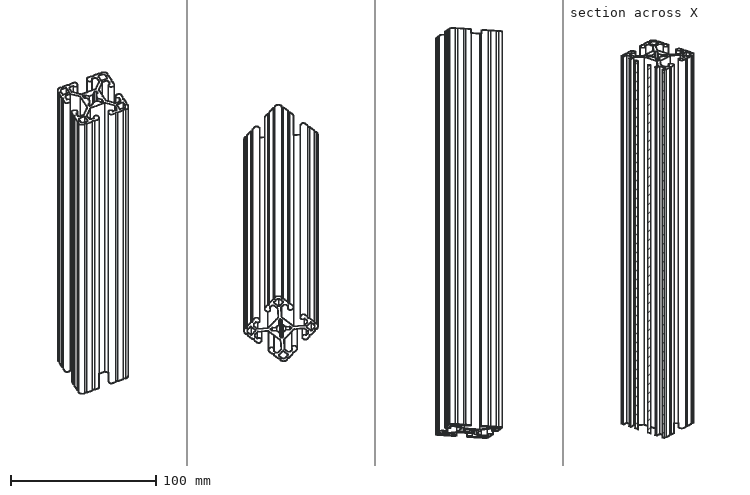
import cadquery as cq

LENGTH = 279.5
WIDTH = 38.0
HALF = WIDTH / 2
CORNER_RADIUS = 3.0

GROOVE_POSITIONS = (9.0, 14.8)
GROOVE_WIDTH = 1.7
GROOVE_DEPTH = 0.5

SLOT_OPENING = 7.8
LIP_THICKNESS = 2.5
BEAD_WIDTH = 3.4
BEAD_HEIGHT = 4.2
BEAD_RADIUS = 1.65
SLOT_WALL = 10.5
SLOT_FILLET = 1.5

CORE_WIDTH = 14.2
WEB_THICKNESS = 2.2
CELL_WALL = 1.7
CELL_OUTER_WALL = 2.0
CELL_CORNER_RADIUS = 1.7

CAVITY_WIDTH = 10.3
PAD_GAP = 6.1
PAD_TIP_WIDTH = 2.8


def prism(points):
    """Full-length prism with a closed straight-sided outline."""
    return cq.Workplane("XY").polyline(points).close().extrude(LENGTH)


def box(width, depth, x=0.0, y=0.0):
    """Full-length rectangular bar centred on (x, y)."""
    return cq.Workplane("XY").center(x, y).rect(width, depth).extrude(LENGTH)


def on_four_sides(solid):
    """The same solid repeated at every quarter turn about Z."""
    return [solid.rotate((0, 0, 0), (0, 0, 1), 90 * quarter) for quarter in range(4)]


def slot_cutter():
    """T-slot on the +Y side, including the mouth between the rounded lips."""
    mouth = SLOT_OPENING / 2
    bead_middle = mouth + BEAD_WIDTH / 2
    lip_bottom = HALF - LIP_THICKNESS
    floor = CORE_WIDTH / 2
    web_offset = WEB_THICKNESS / 2 ** 0.5
    half_outline = [
        (floor - web_offset, floor),
        (SLOT_WALL, SLOT_WALL + web_offset),
        (SLOT_WALL, lip_bottom),
    ]
    mirrored = [(-x, y) for x, y in reversed(half_outline)]
    cutter = prism(half_outline + mirrored).edges("|Z and >Y").fillet(SLOT_FILLET)
    cutter = cutter.union(box(2 * bead_middle, LIP_THICKNESS, y=HALF - LIP_THICKNESS / 2))
    for side in (-1, 1):
        bead = box(BEAD_WIDTH, BEAD_HEIGHT, side * bead_middle, HALF - BEAD_HEIGHT / 2)
        cutter = cutter.cut(bead.edges("|Z").fillet(BEAD_RADIUS))
    return cutter


def groove_cutter(x):
    """Round-bottomed groove in the +Y face at the given X."""
    half_width = GROOVE_WIDTH / 2
    return (
        cq.Workplane("XY")
        .moveTo(x - half_width, HALF)
        .threePointArc((x, HALF - GROOVE_DEPTH), (x + half_width, HALF))
        .close()
        .extrude(LENGTH)
    )


def corner_cell():
    """Hollow in the +X +Y corner, rounded towards the outside."""
    inner = SLOT_WALL + CELL_WALL
    outer = HALF - CELL_OUTER_WALL
    middle = (inner + outer) / 2
    cell = box(outer - inner, outer - inner, middle, middle)
    return cell.edges("|Z and >(1,1,0)").fillet(CELL_CORNER_RADIUS)


def core_bore():
    """Square cavity minus four pads with 45 degree flanks."""
    wall = CAVITY_WIDTH / 2
    tip = PAD_GAP / 2
    tip_half = PAD_TIP_WIDTH / 2
    base_half = tip_half + wall - tip
    pad = prism([(-tip_half, tip), (tip_half, tip), (base_half, wall), (-base_half, wall)])
    bore = box(CAVITY_WIDTH, CAVITY_WIDTH)
    for side_pad in on_four_sides(pad):
        bore = bore.cut(side_pad)
    return bore


result = box(WIDTH, WIDTH).edges("|Z").fillet(CORNER_RADIUS).cut(core_bore())

side_cutters = [slot_cutter(), corner_cell()]
for position in GROOVE_POSITIONS:
    side_cutters += [groove_cutter(-position), groove_cutter(position)]

for side_cutter in side_cutters:
    for cutter in on_four_sides(side_cutter):
        result = result.cut(cutter)